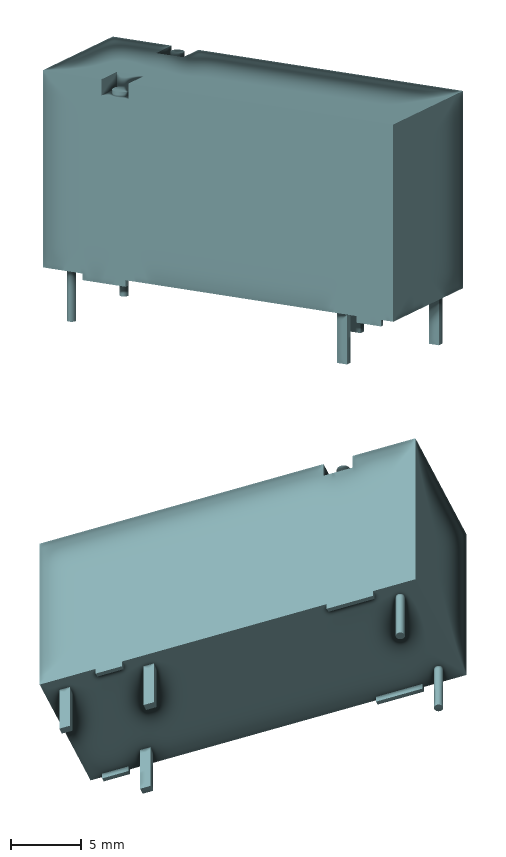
import cadquery as cq

LENGTH = 28.5
WIDTH = 10.0
HEIGHT = 14.5
BACK = WIDTH / 2
FRONT = -WIDTH / 2

NOTCH_SIZE = 2.2
NOTCH_DEPTH = 1.2
NOTCH_X = 5.87
FRONT_STUD_DIAMETER = 1.5
FRONT_STUD_HEIGHT = 0.35
BACK_STUD_DIAMETER = 1.0
BACK_STUD_HEIGHT = NOTCH_DEPTH

FOOT_HEIGHT = 0.48
FOOT_THICKNESS = 0.3
LONG_FOOT_START = 3.22
LONG_FOOT_LENGTH = 3.5
SHORT_FOOT_LENGTH = 2.0
FRONT_SHORT_FOOT_START = 25.5
BACK_SHORT_FOOT_START = 22.25

PIN_LENGTH = 4.0
PIN_ROW_Y = 3.75
ROUND_PIN_X = 1.62
ROUND_PIN_DIAMETER = 0.65
FRONT_FLAT_PIN_XS = (23.77,)
BACK_FLAT_PIN_XS = (20.6, 27.0)
FLAT_PIN_WIDTH = 0.8
FLAT_PIN_THICKNESS = 0.5


def block(start_x, start_y, start_z, length, width, height):
    """Box placed by its lowest corner."""
    corner = cq.Workplane("XY", origin=(start_x, start_y, start_z))
    return corner.box(length, width, height, centered=False)


def cylinder(x, y, base_z, diameter, height):
    """Upright cylinder placed by the centre of its base."""
    return cq.Workplane("XY", origin=(x, y, base_z)).circle(diameter / 2).extrude(height)


def make_housing():
    """Box with a notch and stud at each long top edge."""
    housing = block(0, FRONT, 0, LENGTH, WIDTH, HEIGHT)
    floor_z = HEIGHT - NOTCH_DEPTH
    notches = (
        (FRONT, FRONT + NOTCH_SIZE, FRONT_STUD_DIAMETER, FRONT_STUD_HEIGHT),
        (BACK - NOTCH_SIZE, BACK, BACK_STUD_DIAMETER, BACK_STUD_HEIGHT),
    )
    for start_y, end_y, diameter, height in notches:
        notch = block(NOTCH_X - NOTCH_SIZE / 2, start_y, floor_z, NOTCH_SIZE, NOTCH_SIZE, NOTCH_DEPTH)
        stud = cylinder(NOTCH_X, (start_y + end_y) / 2, floor_z, diameter, height)
        housing = housing.cut(notch).union(stud)
    return housing


def add_feet(body):
    """Two feet on each long side; the short ones are staggered along X."""
    sides = (
        (FRONT, FRONT_SHORT_FOOT_START),
        (BACK - FOOT_THICKNESS, BACK_SHORT_FOOT_START),
    )
    for foot_y, short_start in sides:
        for start_x, length in ((LONG_FOOT_START, LONG_FOOT_LENGTH), (short_start, SHORT_FOOT_LENGTH)):
            body = body.union(block(start_x, foot_y, -FOOT_HEIGHT, length, FOOT_THICKNESS, FOOT_HEIGHT))
    return body


def add_pins(body):
    """A round pin in each row, one flat pin in front and two at the back."""
    for row_y, flat_xs in ((-PIN_ROW_Y, FRONT_FLAT_PIN_XS), (PIN_ROW_Y, BACK_FLAT_PIN_XS)):
        body = body.union(cylinder(ROUND_PIN_X, row_y, -PIN_LENGTH, ROUND_PIN_DIAMETER, PIN_LENGTH))
        for pin_x in flat_xs:
            start_x = pin_x - FLAT_PIN_WIDTH / 2
            start_y = row_y - FLAT_PIN_THICKNESS / 2
            pin = block(start_x, start_y, -PIN_LENGTH, FLAT_PIN_WIDTH, FLAT_PIN_THICKNESS, PIN_LENGTH)
            body = body.union(pin)
    return body


result = add_pins(add_feet(make_housing()))